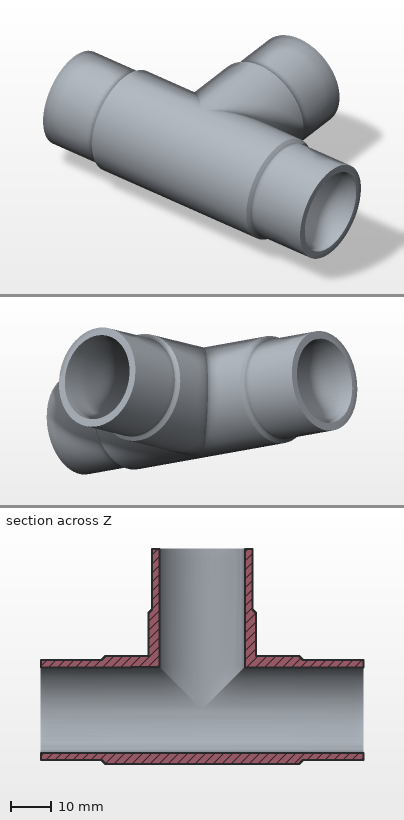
import cadquery as cq

run_length = 80.0
branch_reach = 40.0

body_diameter = 26.9
spigot_diameter = 25.0
bore_diameter = 21.1
spigot_length = 15.0
shoulder_chamfer = (body_diameter - spigot_diameter) / 2

half_run = run_length / 2


def stepped_arm(direction, length):
    """Solid arm from the tee centre: body, chamfered shoulder, then spigot."""
    plane = cq.Plane(origin=(0, 0, 0), xDir=(0, 0, 1), normal=direction)
    body_length = length - spigot_length
    body = (
        cq.Workplane(plane)
        .circle(body_diameter / 2)
        .extrude(body_length)
        .faces(cq.selectors.DirectionMinMaxSelector(cq.Vector(*direction)))
        .chamfer(shoulder_chamfer)
    )
    spigot = cq.Workplane(plane).circle(spigot_diameter / 2).extrude(length)
    return body.union(spigot)


def bore(direction, length):
    """Straight bore from the tee centre out through an arm."""
    plane = cq.Plane(origin=(0, 0, 0), xDir=(0, 0, 1), normal=direction)
    return cq.Workplane(plane).circle(bore_diameter / 2).extrude(length)


arms = [
    ((-1, 0, 0), half_run),
    ((1, 0, 0), half_run),
    ((0, 1, 0), branch_reach),
]

tee = cq.Workplane("XY")
for direction, length in arms:
    tee = tee.union(stepped_arm(direction, length))

for direction, length in arms:
    tee = tee.cut(bore(direction, length))

result = tee.clean()